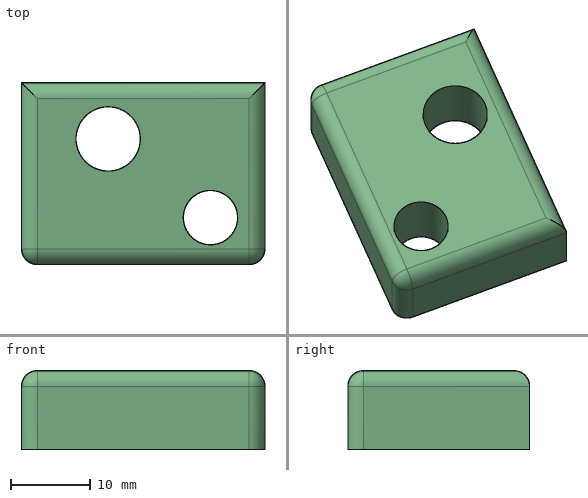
import cadquery as cq

length = 30.8
depth = 23.0
height = 10.0
edge_radius = 2.0

large_hole_diameter = 8.1
large_hole_center = (10.97, 15.9)
small_hole_diameter = 6.85
small_hole_center = (23.9, 5.95)


def rounded_block():
    """Block with rounded front corners and top rim; the rear corners stay sharp."""
    block = cq.Workplane("XY").box(length, depth, height, centered=False)
    front_corners_and_top_rim = "(|Z and <Y) or (>Z)"
    return block.edges(front_corners_and_top_rim).fillet(edge_radius)


def through_hole(center, diameter):
    """Vertical cylinder that cuts a hole through the full height."""
    return cq.Workplane("XY").center(*center).circle(diameter / 2).extrude(height)


result = (
    rounded_block()
    .cut(through_hole(large_hole_center, large_hole_diameter))
    .cut(through_hole(small_hole_center, small_hole_diameter))
)